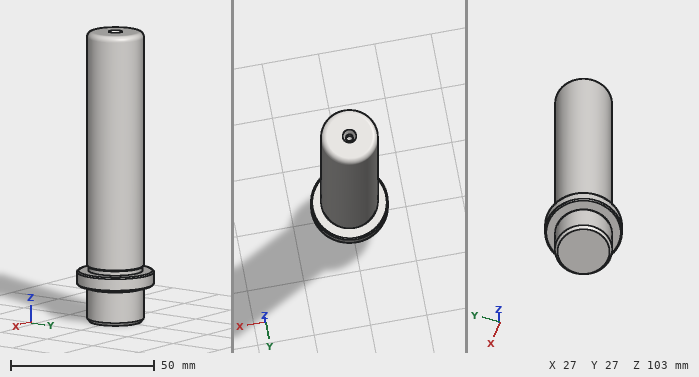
import cadquery as cq
import math

length = 103.0
shaft_radius = 10.0
groove_radius = 9.5
collar_radius = 13.5

lower_groove_start = 12.0
collar_bottom = 13.0
collar_top = 18.0
upper_groove_end = 20.0

groove_bevel = shaft_radius - groove_radius
collar_chamfer = 0.5
foot_chamfer_width = 0.9
foot_chamfer_height = 1.2
top_fillet = 2.0

countersink_radius = 2.4
pilot_radius = 1.2
pilot_length = 2.5
countersink_angle = 60.0
drill_point_angle = 120.0


def cone_height(large_radius, small_radius, included_angle):
    """Axial height of a cone between two radii."""
    return (large_radius - small_radius) / math.tan(math.radians(included_angle / 2))


def make_pin():
    """Revolve the half section of the shaft, grooves and collar."""
    fillet_offset = top_fillet * math.sqrt(0.5)
    fillet_middle = (
        shaft_radius - top_fillet + fillet_offset,
        length - top_fillet + fillet_offset,
    )
    return (
        cq.Workplane("XZ")
        .moveTo(0, 0)
        .lineTo(shaft_radius - foot_chamfer_width, 0)
        .lineTo(shaft_radius, foot_chamfer_height)
        .lineTo(shaft_radius, lower_groove_start)
        .lineTo(groove_radius, lower_groove_start + groove_bevel)
        .lineTo(groove_radius, collar_bottom)
        .lineTo(collar_radius - collar_chamfer, collar_bottom)
        .lineTo(collar_radius, collar_bottom + collar_chamfer)
        .lineTo(collar_radius, collar_top - collar_chamfer)
        .lineTo(collar_radius - collar_chamfer, collar_top)
        .lineTo(groove_radius, collar_top)
        .lineTo(groove_radius, upper_groove_end - groove_bevel)
        .lineTo(shaft_radius, upper_groove_end)
        .lineTo(shaft_radius, length - top_fillet)
        .threePointArc(fillet_middle, (shaft_radius - top_fillet, length))
        .lineTo(0, length)
        .close()
        .revolve(360, (0, 0, 0), (0, 1, 0))
    )


def make_center_hole():
    """Revolve the countersink, pilot bore and drill point to be removed."""
    pilot_top = length - cone_height(countersink_radius, pilot_radius, countersink_angle)
    pilot_bottom = pilot_top - pilot_length
    drill_tip = pilot_bottom - cone_height(pilot_radius, 0, drill_point_angle)
    return (
        cq.Workplane("XZ")
        .moveTo(0, length)
        .lineTo(countersink_radius, length)
        .lineTo(pilot_radius, pilot_top)
        .lineTo(pilot_radius, pilot_bottom)
        .lineTo(0, drill_tip)
        .close()
        .revolve(360, (0, 0, 0), (0, 1, 0))
    )


result = make_pin().cut(make_center_hole())